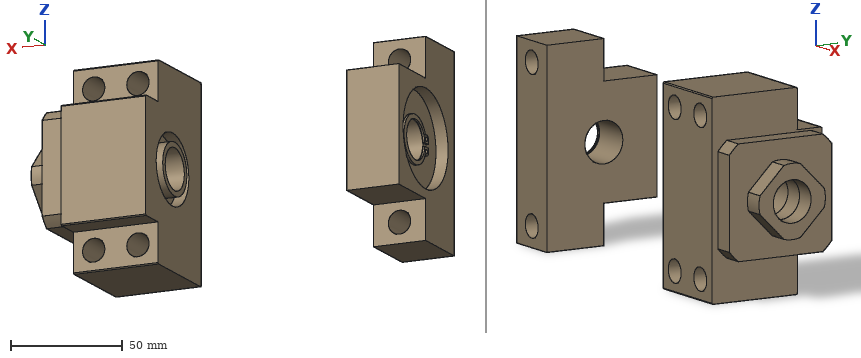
import cadquery as cq


total_length = 188.0
base_height = 30.0
top_height = 28.0
block_width = 95.0
boss_width = 56.0
bolt_diameter = 11.0
bolt_pitch = 75.0
bore_diameter = 20.0

float_length = 26.0
float_shoulder = 0.0
float_recess_diameter = 47.0
float_recess_depth = 6.0

ring_inner_diameter = 19.0
ring_outer_diameter = 23.3
ring_eccentricity = 0.5
ring_thickness = 1.1
ring_gap = 1.7
lug_span = 9.8
lug_reach = 13.2
lug_root = 10.2
lug_corner_radius = 1.6
lug_hole_diameter = 2.0
lug_hole_reach = 11.3

nut_length = 10.0
cover_length = 10.0
fixed_length = 42.1
fixed_shoulder = 15.0
fixed_chamfer = 0.5
fixed_bolt_spacing = 22.0
fixed_recess_diameter = 34.0
fixed_recess_depth = 6.0
collar_diameter = 25.2
collar_seat_depth = 10.0
collar_protrusion = 1.1
cover_width = 54.0
cover_corner_diameter = 70.0
nut_across_flats = 30.0
nut_corner_diameter = 35.0

nut_start = total_length - nut_length
cover_start = nut_start - cover_length
fixed_start = cover_start - fixed_length
fixed_middle = fixed_start + fixed_length / 2


def plane_at(x):
    """Plane across the shaft axis: local x is Y, local y is Z, normal is +X."""
    return cq.Workplane("YZ", origin=(x, 0, 0))


def cylinder(x, diameter, length):
    return plane_at(x).circle(diameter / 2).extrude(length)


def rounded_square(x, width, corner_diameter, length):
    """Square prism whose corners are trimmed by a concentric cylinder."""
    square = plane_at(x).rect(width, width).extrude(length)
    return square.intersect(cylinder(x, corner_diameter, length))


def t_block(x, length, shoulder):
    """T-shaped prism: wide at the mounting face, narrow beyond the shoulder."""
    half_width = block_width / 2
    half_boss = boss_width / 2
    outline = [
        (-base_height, -half_width),
        (shoulder, -half_width),
        (shoulder, -half_boss),
        (top_height, -half_boss),
        (top_height, half_boss),
        (shoulder, half_boss),
        (shoulder, half_width),
        (-base_height, half_width),
    ]
    return plane_at(x).polyline(outline).close().extrude(length)


def bolt_holes(x_positions):
    """Pairs of mounting holes along Y, right through the block."""
    points = [(x, side * bolt_pitch / 2) for x in x_positions for side in (-1, 1)]
    mounting_face = cq.Workplane("XZ", origin=(0, -base_height, 0))
    block_height = base_height + top_height
    return mounting_face.pushPoints(points).circle(bolt_diameter / 2).extrude(-block_height)


def make_float_block():
    block = t_block(0, float_length, float_shoulder)
    block = block.cut(cylinder(0, float_recess_diameter, float_recess_depth))
    block = block.cut(cylinder(0, bore_diameter, float_length))
    return block.cut(bolt_holes([float_length / 2]))


def make_snap_ring():
    start = float_recess_depth - ring_thickness
    outer_radius = ring_outer_diameter / 2
    band = plane_at(start).center(ring_eccentricity, 0).circle(outer_radius).extrude(ring_thickness)
    lugs = (
        plane_at(start)
        .center(-(lug_root + lug_reach) / 2, 0)
        .rect(lug_reach - lug_root, lug_span)
        .extrude(ring_thickness)
        .edges("|X and <Y")
        .fillet(lug_corner_radius)
    )
    gap = plane_at(start).center(-lug_reach / 2, 0).rect(lug_reach, ring_gap).extrude(ring_thickness)
    hole_offset = (lug_span + ring_gap) / 4
    holes = (
        plane_at(start)
        .pushPoints([(-lug_hole_reach, side * hole_offset) for side in (-1, 1)])
        .circle(lug_hole_diameter / 2)
        .extrude(ring_thickness)
    )
    opening = cylinder(start, ring_inner_diameter, ring_thickness)
    return band.union(lugs).cut(opening).cut(gap).cut(holes)


def make_fixed_block():
    block = t_block(fixed_start, fixed_length, fixed_shoulder)
    corner_reach = boss_width / 2 + fixed_chamfer
    inner_corners = cq.selectors.BoxSelector(
        (fixed_start, fixed_shoulder - fixed_chamfer, -corner_reach),
        (cover_start, fixed_shoulder + fixed_chamfer, corner_reach),
    )
    lengthwise = cq.selectors.ParallelDirSelector(cq.Vector(1, 0, 0))
    block = block.edges(lengthwise - inner_corners).chamfer(fixed_chamfer)
    block = block.cut(cylinder(fixed_start, fixed_recess_diameter, fixed_recess_depth))
    block = block.cut(cylinder(fixed_start, collar_diameter, collar_seat_depth))
    block = block.cut(cylinder(fixed_start, bore_diameter, fixed_length))
    half_spacing = fixed_bolt_spacing / 2
    return block.cut(bolt_holes([fixed_middle - half_spacing, fixed_middle + half_spacing]))


def make_collar():
    """Spacer collar seated below the recess floor and projecting past the block face."""
    start = fixed_start - collar_protrusion
    length = collar_protrusion + collar_seat_depth
    return cylinder(start, collar_diameter, length).cut(cylinder(start, bore_diameter, length))


def make_cover():
    cover = rounded_square(cover_start, cover_width, cover_corner_diameter, cover_length)
    return cover.cut(cylinder(cover_start, bore_diameter, cover_length))


def make_nut():
    """Square lock nut turned so that its corners point along Y and Z."""
    nut = rounded_square(nut_start, nut_across_flats, nut_corner_diameter, nut_length)
    nut = nut.rotate((0, 0, 0), (1, 0, 0), 45)
    return nut.cut(cylinder(nut_start, bore_diameter, nut_length))


float_block = make_float_block()
snap_ring = make_snap_ring()
fixed_block = make_fixed_block()
collar = make_collar()
cover = make_cover()
nut = make_nut()

result = cq.Compound.makeCompound([
    float_block.val(),
    snap_ring.val(),
    fixed_block.val(),
    collar.val(),
    cover.val(),
    nut.val(),
])